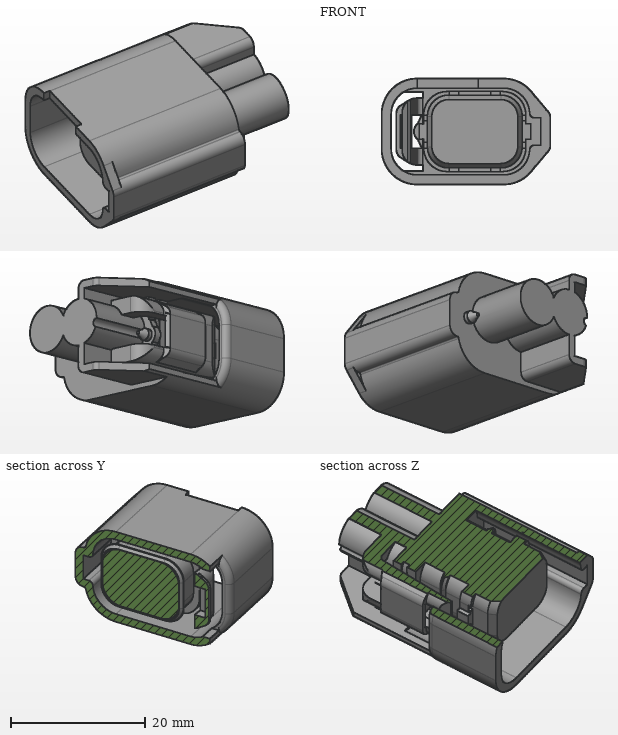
import cadquery as cq
import math

WIDTH = 25.2
LENGTH = 33.5
HALF_HEIGHT = 15.85 / 2
WALL = 1.45
PICK_MARGIN = 0.1

SLEEVE_LENGTH = 23.0
CORNER_R = 5.35
CORNER_Z = HALF_HEIGHT - CORNER_R
LEFT_CORNER_X = CORNER_R
RIGHT_CORNER_X = 18.2
TAB_CORNER_R = WALL
TAB_CORNER_X = WIDTH - TAB_CORNER_R
TAB_CORNER_Z = 2.03
TAB_HALF = TAB_CORNER_Z + TAB_CORNER_R
OUTER_NECK_R = 0.3
INNER_NECK_R = 0.75
COLLAR_LENGTH = 1.55
CAVITY_DEPTH = 18.9
NOTCH_X = (LEFT_CORNER_X, 14.4)
NOTCH_DEPTH = 1.0

WINDOW_START = 12.66
WINDOW_FACE_X = 2.0
WINDOW_WALL_X = 6.17
WINDOW_HALF = 5.86
WINDOW_EDGE_R = 1.0
GROOVE_Y = (20.57, 21.57)

PLATE_TOP = 7.09
PLATE_BEVEL_START_Y = 27.3
PLATE_BEVEL_END_X = 7.2
PLATE_TIP_R = 1.1
PLATE_END_X = 9.5
WEB_R = 1.2

TUBE_R = 3.58
TUBE_Z = 0.82
TUBE_X = (10.55, 17.02)
TUBE_GROOVE_R = 0.67

PLUG_X = 13.91
PLUG_HALF_X = 7.07
PLUG_HALF_Z = 5.44
PLUG_R = 3.2
FLANGE_R = 3.45
PLUG_FRONT = 5.0
PLUG_CHAMFER = 0.67
PLUG_CHAMFER_LENGTH = 1.3
FLANGE_MARGIN = 0.53
FLANGE_Y = (9.0, 11.0)
FLANGE_KEY_REACH = 8.31
FLANGE_KEY_HALF = 1.15
FLANGE_RECESS_DEPTH = 0.5
RECESS_NEAR_X, RECESS_WIDTH_X = 2.4, 1.38
RECESS_NEAR_Z, RECESS_WIDTH_Z = 1.58, 0.88
CORE_HALF_X = 6.6
CORE_HALF_Z = 4.94
RIDGE_PEAK_Y = 14.8
RIDGE_CREST = 0.1
RIDGE_HEIGHT = PLUG_HALF_Z - CORE_HALF_Z

ARM_X = 3.08
ARM_HALF = 5.0
ARM_EDGE_R = 2.2
ARM_TIP_Y = 11.0
ARM_TIP_X = (3.9, 4.3)
ARM_ROOT_X = 5.4
ARM_ROOT_Y = 25.0
ARM_ROOT_R = 0.8
ARM_TIP_CHAMFER_Y = 12.4
ARM_END_Y = 27.6
ARM_BEND_R = 2.5
SLOT_HALF = 2.46
SLOT_START_Y = 13.87
PAD_X = 2.18
PAD_INNER_X = 2.86
PAD_FLAT_HALF = CORNER_Z
PAD_SHOULDER_MID = (2.33, 3.29)
PAD_SHOULDER = (2.8, 3.87)
PAD_EDGE = (4.1, 4.67)
PAD_Y = (14.87, 22.5)
PAD_REAR_LEAN = 1.0

PIN_D = 1.85
PIN_TIP_D = 0.5
PIN_REACH = 7.5
PIN_SHOULDER_Y = 23.7
PIN_TIP_Y = 25.05
PIN_ROOT_Y = 21.8
BRACKET_NOSE_X = 4.82
BRACKET_SHOULDER = (5.4, 1.2)
BRACKET_ROOT = (5.95, 2.4)


def section(y):
    """Sketch plane across the part at the given Y, with local axes X and Z."""
    return cq.Workplane("XZ", origin=(0, y, 0))


def box(x, y, z):
    """Box between the (low, high) limits on each axis."""
    size = [high - low for low, high in (x, y, z)]
    return cq.Workplane("XY").box(*size, centered=False).translate((x[0], y[0], z[0]))


def rounded_block(half_x, half_z, radius, y):
    """Block around the plug axis with four rounded long edges."""
    block = box((PLUG_X - half_x, PLUG_X + half_x), y, (-half_z, half_z))
    return block.edges("|Y").fillet(radius)


def near_edges(low, high):
    """Selector for the edges centred between two corner points, give or take the margin."""
    grown_low = tuple(v - PICK_MARGIN for v in low)
    grown_high = tuple(v + PICK_MARGIN for v in high)
    return cq.selectors.BoxSelector(grown_low, grown_high)


def polar(centre, radius, angle):
    return (centre[0] + radius * math.cos(angle), centre[1] + radius * math.sin(angle))


def flip(point):
    return (point[0], -point[1])


def left_side(sketch, radius):
    """From the lower right corner tangent, round the left side, to the upper right one."""
    top = CORNER_Z + radius
    left = LEFT_CORNER_X - radius
    upper_mid = polar((LEFT_CORNER_X, CORNER_Z), radius, math.radians(135))
    return (
        sketch.lineTo(LEFT_CORNER_X, -top)
        .threePointArc(flip(upper_mid), (left, -CORNER_Z))
        .lineTo(left, CORNER_Z)
        .threePointArc(upper_mid, (LEFT_CORNER_X, top))
        .lineTo(RIGHT_CORNER_X, top)
    )


def necked_outline(inset, neck_r):
    """Rounded outline with a square-ended tab on +X, joined through concave necks."""
    radius = CORNER_R - inset
    corner = (RIGHT_CORNER_X, CORNER_Z)
    tab_half = TAB_HALF - inset
    tab_r = TAB_CORNER_R - inset
    tab_end = WIDTH - inset
    neck_rise = tab_half + neck_r - CORNER_Z
    neck_angle = math.asin(neck_rise / (radius + neck_r))
    neck = polar(corner, radius + neck_r, neck_angle)
    neck_start = polar(corner, radius, neck_angle)
    neck_mid = polar(neck, neck_r, (neck_angle + math.pi + 1.5 * math.pi) / 2)
    neck_end = (neck[0], tab_half)
    corner_mid = polar(corner, radius, (math.pi / 2 + neck_angle) / 2)

    sketch = left_side(section(0).moveTo(RIGHT_CORNER_X, -CORNER_Z - radius), radius)
    sketch = sketch.threePointArc(corner_mid, neck_start).threePointArc(neck_mid, neck_end)
    if tab_r > 0:
        tab_mid = polar((TAB_CORNER_X, TAB_CORNER_Z), tab_r, math.radians(45))
        sketch = (
            sketch.lineTo(TAB_CORNER_X, tab_half)
            .threePointArc(tab_mid, (tab_end, TAB_CORNER_Z))
            .lineTo(tab_end, -TAB_CORNER_Z)
            .threePointArc(flip(tab_mid), (TAB_CORNER_X, -tab_half))
        )
    else:
        sketch = sketch.lineTo(tab_end, tab_half).lineTo(tab_end, -tab_half)
    return (
        sketch.lineTo(*flip(neck_end))
        .threePointArc(flip(neck_mid), flip(neck_start))
        .threePointArc(flip(corner_mid), (RIGHT_CORNER_X, -CORNER_Z - radius))
        .close()
    )


def collar():
    """Mouth of the sleeve, where straight flanks bridge the necks beside the tab."""
    corner = (RIGHT_CORNER_X, CORNER_Z)
    tab = (TAB_CORNER_X, TAB_CORNER_Z)
    run, rise = tab[0] - corner[0], tab[1] - corner[1]
    normal = math.atan2(rise, run) + math.acos((CORNER_R - TAB_CORNER_R) / math.hypot(run, rise))
    corner_mid = polar(corner, CORNER_R, (math.pi / 2 + normal) / 2)
    corner_end = polar(corner, CORNER_R, normal)
    tab_start = polar(tab, TAB_CORNER_R, normal)
    tab_mid = polar(tab, TAB_CORNER_R, normal / 2)
    sketch = left_side(section(0).moveTo(RIGHT_CORNER_X, -HALF_HEIGHT), CORNER_R)
    return (
        sketch.threePointArc(corner_mid, corner_end)
        .lineTo(*tab_start)
        .threePointArc(tab_mid, (WIDTH, TAB_CORNER_Z))
        .lineTo(WIDTH, -TAB_CORNER_Z)
        .threePointArc(flip(tab_mid), flip(tab_start))
        .lineTo(*flip(corner_end))
        .threePointArc(flip(corner_mid), (RIGHT_CORNER_X, -HALF_HEIGHT))
        .close()
        .extrude(-COLLAR_LENGTH)
    )


def sleeve():
    body = necked_outline(0, OUTER_NECK_R).extrude(-SLEEVE_LENGTH)
    side_cut = box((0, WINDOW_FACE_X), (WINDOW_START, SLEEVE_LENGTH), (-HALF_HEIGHT, HALF_HEIGHT))
    body = body.cut(side_cut)
    rim = near_edges(
        (0, WINDOW_START, -HALF_HEIGHT),
        (WINDOW_FACE_X - 2 * PICK_MARGIN, WINDOW_START, HALF_HEIGHT),
    )
    body = body.edges(rim).fillet(WINDOW_EDGE_R)
    body = body.union(collar())
    body = body.cut(necked_outline(WALL, INNER_NECK_R).extrude(-CAVITY_DEPTH))
    window = box(
        (WINDOW_FACE_X, WINDOW_WALL_X), (WINDOW_START, SLEEVE_LENGTH), (-WINDOW_HALF, WINDOW_HALF)
    )
    notch = box(NOTCH_X, (0, NOTCH_DEPTH), (HALF_HEIGHT - 2 * WALL, HALF_HEIGHT))
    return body.cut(window).cut(notch).cut(wall_groove())


def wall_groove():
    """Groove across the window wall, with a floor that follows the rounded flange shape."""
    half_x = PLUG_HALF_X + FLANGE_MARGIN
    floor = rounded_block(half_x, PLUG_HALF_Z + FLANGE_MARGIN, FLANGE_R, GROOVE_Y)
    end_x = PLUG_X - half_x + FLANGE_R
    return box((WINDOW_WALL_X, end_x), GROOVE_Y, (-WINDOW_HALF, WINDOW_HALF)).cut(floor)


def guard_plates():
    """Two bevelled plates, rounded off along the outline of the sleeve corner."""
    bevel_run = PLATE_BEVEL_END_X - WINDOW_FACE_X
    plate = (
        cq.Workplane("XY", origin=(0, 0, WINDOW_HALF))
        .moveTo(WINDOW_FACE_X, CAVITY_DEPTH)
        .lineTo(WINDOW_FACE_X, PLATE_BEVEL_START_Y)
        .line(bevel_run, LENGTH - PLATE_BEVEL_START_Y)
        .lineTo(PLATE_END_X, LENGTH)
        .lineTo(PLATE_END_X, CAVITY_DEPTH)
        .close()
        .extrude(PLATE_TOP - WINDOW_HALF)
    )
    tip = near_edges((PLATE_BEVEL_END_X, LENGTH, 0), (PLATE_BEVEL_END_X, LENGTH, HALF_HEIGHT))
    plate = plate.edges(tip).fillet(PLATE_TIP_R)
    envelope = necked_outline(0, OUTER_NECK_R).extrude(-LENGTH)
    return plate.union(plate.mirror("XY")).intersect(envelope)


def web():
    """Upright wall joining the plates, with its free long edges rounded over."""
    x = (PLATE_END_X, PLATE_END_X + WEB_R)
    round_start = PLATE_TOP - WEB_R
    return (
        section(CAVITY_DEPTH)
        .moveTo(x[0], -PLATE_TOP)
        .lineTo(x[0], PLATE_TOP)
        .radiusArc((x[1], round_start), WEB_R)
        .lineTo(x[1], -round_start)
        .radiusArc((x[0], -PLATE_TOP), WEB_R)
        .close()
        .extrude(CAVITY_DEPTH - LENGTH)
    )


def tubes():
    first, second = [
        section(CAVITY_DEPTH).center(x, TUBE_Z).circle(TUBE_R).extrude(CAVITY_DEPTH - LENGTH) for x in TUBE_X
    ]
    groove_centre = (TUBE_X[0] - TUBE_R, TUBE_Z - TUBE_GROOVE_R)
    groove = section(SLEEVE_LENGTH).center(*groove_centre).circle(TUBE_GROOVE_R)
    return first.union(second).cut(groove.extrude(SLEEVE_LENGTH - LENGTH))


def plug():
    head = rounded_block(PLUG_HALF_X, PLUG_HALF_Z, PLUG_R, (PLUG_FRONT, FLANGE_Y[1]))
    head = head.faces("<Y").chamfer(PLUG_CHAMFER, PLUG_CHAMFER_LENGTH)
    core = rounded_block(CORE_HALF_X, CORE_HALF_Z, PLUG_R, (FLANGE_Y[0], SLEEVE_LENGTH))
    return head.union(core).union(flange()).union(core_ridge())


def flange():
    half_x = PLUG_HALF_X + FLANGE_MARGIN
    half_z = PLUG_HALF_Z + FLANGE_MARGIN
    body = rounded_block(half_x, half_z, FLANGE_R, FLANGE_Y)
    recess_y = (FLANGE_Y[0], FLANGE_Y[0] + FLANGE_RECESS_DEPTH)
    for side in (-1, 1):
        for end in (-1, 1):
            x = sorted(PLUG_X + side * s for s in (RECESS_NEAR_X, RECESS_NEAR_X + RECESS_WIDTH_X))
            z = sorted(end * s for s in (PLUG_HALF_Z, half_z))
            body = body.cut(box(x, recess_y, z))
            x = sorted(PLUG_X + side * s for s in (PLUG_HALF_X, half_x))
            z = sorted(end * s for s in (RECESS_NEAR_Z, RECESS_NEAR_Z + RECESS_WIDTH_Z))
            body = body.cut(box(x, recess_y, z))
    key_x = (PLUG_X - FLANGE_KEY_REACH, PLUG_X + FLANGE_KEY_REACH)
    return body.union(box(key_x, FLANGE_Y, (-FLANGE_KEY_HALF, FLANGE_KEY_HALF)))


def core_ridge():
    """Ring around the core with a 45 degree slope on both sides."""
    half_x = CORE_HALF_X + RIDGE_HEIGHT
    half_z = CORE_HALF_Z + RIDGE_HEIGHT
    ends = (RIDGE_PEAK_Y - RIDGE_HEIGHT, RIDGE_PEAK_Y + RIDGE_HEIGHT)
    front = rounded_block(half_x, half_z, PLUG_R, (ends[0], RIDGE_PEAK_Y + RIDGE_CREST / 2))
    front = front.faces("<Y").chamfer(RIDGE_HEIGHT)
    rear = rounded_block(half_x, half_z, PLUG_R, (RIDGE_PEAK_Y - RIDGE_CREST / 2, ends[1]))
    return front.union(rear.faces(">Y").chamfer(RIDGE_HEIGHT))


def latch_arm():
    side = (
        cq.Workplane("XY", origin=(0, 0, -ARM_HALF))
        .moveTo(ARM_TIP_X[0], ARM_TIP_Y)
        .lineTo(ARM_X, ARM_TIP_CHAMFER_Y)
        .lineTo(ARM_X, ARM_END_Y - ARM_BEND_R)
        .radiusArc((ARM_X + ARM_BEND_R, ARM_END_Y), ARM_BEND_R)
        .lineTo(PLATE_END_X, ARM_END_Y)
        .lineTo(PLATE_END_X, ARM_ROOT_Y)
        .lineTo(ARM_ROOT_X, ARM_ROOT_Y)
        .lineTo(ARM_TIP_X[1], ARM_TIP_Y)
        .close()
        .extrude(2 * ARM_HALF)
    )
    root = cq.selectors.NearestToPointSelector((ARM_ROOT_X, ARM_ROOT_Y, 0))
    side = side.edges(root).fillet(ARM_ROOT_R)
    outer_edges = near_edges((ARM_X, 0, -HALF_HEIGHT), (ARM_X, LENGTH, HALF_HEIGHT))
    profile = box((ARM_X, PLATE_END_X), (ARM_TIP_Y, ARM_END_Y), (-ARM_HALF, ARM_HALF))
    profile = profile.edges("|Y").edges(outer_edges).fillet(ARM_EDGE_R)
    return side.intersect(profile).union(release_pad()).cut(latch_slot())


def latch_slot():
    return box((PAD_INNER_X, PLATE_END_X), (SLOT_START_Y, ARM_END_Y), (-SLOT_HALF, SLOT_HALF))


def release_pad():
    """Raised bridge over the arm slot; its rear end leans back towards the arm."""
    depth = PAD_EDGE[0] - PAD_X
    pad = (
        section(PAD_Y[0])
        .moveTo(PAD_X, -PAD_FLAT_HALF)
        .lineTo(PAD_X, PAD_FLAT_HALF)
        .threePointArc(PAD_SHOULDER_MID, PAD_SHOULDER)
        .lineTo(*PAD_EDGE)
        .lineTo(*flip(PAD_EDGE))
        .lineTo(*flip(PAD_SHOULDER))
        .threePointArc(flip(PAD_SHOULDER_MID), (PAD_X, -PAD_FLAT_HALF))
        .close()
        .extrude(PAD_Y[0] - PAD_Y[1] - PAD_REAR_LEAN)
    )
    rear_cut = (
        cq.Workplane("XY", origin=(0, 0, -HALF_HEIGHT))
        .moveTo(PAD_X, PAD_Y[1])
        .line(depth, PAD_REAR_LEAN)
        .line(-depth, 0)
        .close()
        .extrude(2 * HALF_HEIGHT)
    )
    return pad.cut(rear_cut)


def pin(x):
    """Locating pin with a conical tip, pointing towards the wire end."""
    return (
        cq.Workplane("XY")
        .moveTo(0, PIN_ROOT_Y)
        .lineTo(PIN_D / 2, PIN_ROOT_Y)
        .lineTo(PIN_D / 2, PIN_SHOULDER_Y)
        .lineTo(PIN_TIP_D / 2, PIN_TIP_Y)
        .lineTo(0, PIN_TIP_Y)
        .close()
        .revolve(360, (0, 0, 0), (0, 1, 0))
        .translate((x, 0, 0))
    )


def pin_bracket():
    """Round-nosed bracket beside the window wall, carrying the -X pin."""
    seat_x = PLUG_X - PIN_REACH
    return (
        section(PIN_ROOT_Y)
        .moveTo(seat_x, -BRACKET_ROOT[1])
        .lineTo(*flip(BRACKET_ROOT))
        .lineTo(*flip(BRACKET_SHOULDER))
        .threePointArc((BRACKET_NOSE_X, 0), BRACKET_SHOULDER)
        .lineTo(*BRACKET_ROOT)
        .lineTo(seat_x, BRACKET_ROOT[1])
        .close()
        .extrude(PIN_ROOT_Y - SLEEVE_LENGTH)
    )


result = sleeve().union(guard_plates()).union(web()).union(tubes()).union(plug())
result = result.union(latch_arm()).union(pin_bracket())
for side in (-1, 1):
    result = result.union(pin(PLUG_X + side * PIN_REACH))